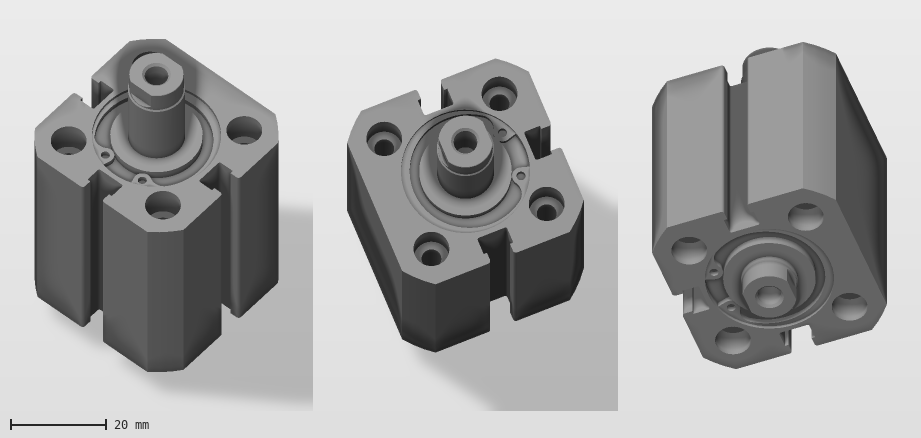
import cadquery as cq
import math


total_length = 75.0
housing_height = 48.0
bottom_reach = 6.0

housing_width = 41.0
corner_radius = 25.5

hole_spacing = 26.0
hole_diameter = 4.1
counterbore_diameter = 7.5
counterbore_depth = 7.0

slot_mouth_width = 5.2
slot_inner_width = 6.7
slot_depth = 6.0
slot_lip = 2.3
slot_mouth_rounding = 0.7
slot_floor_rounding = 0.45
slot_angles = (0, 180, 270)

recess_diameter = 27.0
ring_setback = 0.75
ring_thickness = 1.3
flange_thickness = 6.0
collar_boss_diameter = 19.35

ring_inner_radius = 12.45
ring_inner_offset = 0.8
lug_distance = 11.6
lug_angle = 26.0
lug_radius = 1.9
lug_hole_diameter = 1.9
lug_blend_radius = 3.0

rod_diameter = 12.0
tip_diameter = 11.4
tip_length = 4.8
tip_chamfer = 0.1
flats_width = 10.0
flats_length = 3.9
thread_hole_diameter = 4.95
thread_hole_depth = 12.0
thread_hole_chamfer = 0.5
drill_point_angle = 118.0

half_width = housing_width / 2
mid_height = housing_height / 2
recess_radius = recess_diameter / 2
rod_radius = rod_diameter / 2
tip_radius = tip_diameter / 2
flange_top = housing_height - ring_setback - ring_thickness
recess_floor = flange_top - flange_thickness
rod_bottom = -bottom_reach
rod_top = rod_bottom + total_length


def cylinder(diameter, bottom, height):
    return cq.Workplane("XY").workplane(offset=bottom).circle(diameter / 2).extrude(height)


def at_bottom_end(body):
    """Copy of a top-end body mirrored to the bottom end of the housing."""
    return body.mirror("XY", (0, 0, mid_height))


def slot_cutter(angle):
    """T-slot with rounded mouth edges and floor corners, opening toward the given direction about Z."""
    half_mouth = slot_mouth_width / 2
    half_inner = slot_inner_width / 2
    floor = half_width - slot_depth
    lip_back = half_width - slot_lip
    lip_front = half_width - slot_mouth_rounding
    half_flare = half_mouth + slot_mouth_rounding
    profile = (
        cq.Workplane("XY")
        .moveTo(floor, -half_inner)
        .lineTo(lip_back, -half_inner)
        .lineTo(lip_back, -half_mouth)
        .lineTo(lip_front, -half_mouth)
        .radiusArc((half_width, -half_flare), slot_mouth_rounding)
        .lineTo(half_width, half_flare)
        .radiusArc((lip_front, half_mouth), slot_mouth_rounding)
        .lineTo(lip_back, half_mouth)
        .lineTo(lip_back, half_inner)
        .lineTo(floor, half_inner)
        .close()
    )
    cutter = profile.extrude(housing_height).faces("<X").edges("|Z").fillet(slot_floor_rounding)
    return cutter.rotate((0, 0, 0), (0, 0, 1), angle)


def make_housing():
    body = cq.Workplane("XY").rect(housing_width, housing_width).extrude(housing_height)
    body = body.intersect(cylinder(2 * corner_radius, 0, housing_height))

    for angle in slot_angles:
        body = body.cut(slot_cutter(angle))

    for face in (">Z", "<Z"):
        body = (
            body.faces(face)
            .workplane(origin=(0, 0, 0))
            .rect(hole_spacing, hole_spacing, forConstruction=True)
            .vertices()
            .cboreHole(hole_diameter, counterbore_diameter, counterbore_depth)
        )

    recess = cylinder(recess_diameter, recess_floor, housing_height - recess_floor)
    body = body.cut(cylinder(rod_diameter, 0, housing_height))
    return body.cut(recess).cut(at_bottom_end(recess))


def make_collar():
    """Rod guide at the top end: a flange under the ring and a boss flush with the housing."""
    flange = cylinder(recess_diameter, recess_floor, flange_thickness)
    boss = cylinder(collar_boss_diameter, flange_top, housing_height - flange_top)
    return flange.union(boss).cut(cylinder(rod_diameter, recess_floor, housing_height))


def point_below(center, radius, angle):
    """Point at a radius from a center, at an angle in radians from -Y toward +X."""
    return (center[0] + radius * math.sin(angle), center[1] - radius * math.cos(angle))


def mirrored(point):
    return (-point[0], point[1])


def make_ring():
    """Top retaining ring, open toward -Y, with a drilled lug at each end."""
    axis = (0, 0)
    inner_center = (0, -ring_inner_offset)
    lug_direction = math.radians(lug_angle)
    lug_center = point_below(axis, lug_distance, lug_direction)

    end_direction = lug_direction - math.asin(lug_radius / lug_distance)
    end_outer = point_below(axis, recess_radius, end_direction)
    end_inner = point_below(axis, math.sqrt(lug_distance**2 - lug_radius**2), end_direction)

    lug_dx = lug_center[0] - inner_center[0]
    lug_dy = inner_center[1] - lug_center[1]
    lug_reach = math.hypot(lug_dx, lug_dy)
    blend_reach = ring_inner_radius - lug_blend_radius
    blend_to_lug = lug_blend_radius + lug_radius
    cosine = (blend_reach**2 + lug_reach**2 - blend_to_lug**2) / (2 * blend_reach * lug_reach)
    blend_direction = math.atan2(lug_dx, lug_dy) + math.acos(cosine)
    blend_center = point_below(inner_center, blend_reach, blend_direction)
    blend_start = point_below(inner_center, ring_inner_radius, blend_direction)
    lug_share = lug_radius / blend_to_lug
    blend_end = (
        lug_center[0] + lug_share * (blend_center[0] - lug_center[0]),
        lug_center[1] + lug_share * (blend_center[1] - lug_center[1]),
    )

    outer_top = (0, recess_radius)
    inner_top = (0, ring_inner_radius - ring_inner_offset)
    return (
        cq.Workplane("XY")
        .workplane(offset=flange_top)
        .moveTo(*end_outer)
        .threePointArc(outer_top, mirrored(end_outer))
        .lineTo(*mirrored(end_inner))
        .radiusArc(mirrored(blend_end), -lug_radius)
        .radiusArc(mirrored(blend_start), lug_blend_radius)
        .threePointArc(inner_top, blend_start)
        .radiusArc(blend_end, lug_blend_radius)
        .radiusArc(end_inner, -lug_radius)
        .close()
        .pushPoints([lug_center, mirrored(lug_center)])
        .circle(lug_hole_diameter / 2)
        .extrude(ring_thickness)
    )


def rod_end_flat():
    """Cutter for the +Y wrench flat at the top of the rod, with a 45-degree run-out."""
    flat = flats_width / 2
    flat_end = rod_top - flats_length
    run_out = rod_radius - flat
    return (
        cq.Workplane("YZ")
        .moveTo(flat, rod_top)
        .lineTo(flat, flat_end)
        .lineTo(rod_radius, flat_end - run_out)
        .lineTo(rod_radius, rod_top)
        .close()
        .extrude(rod_radius, both=True)
    )


def thread_hole():
    """Cutter for the hole in the top end of the rod, with a chamfered mouth and a drill point."""
    radius = thread_hole_diameter / 2
    hole_floor = rod_top - thread_hole_depth
    point_depth = radius / math.tan(math.radians(drill_point_angle / 2))
    return (
        cq.Workplane("XZ")
        .moveTo(0, rod_top)
        .lineTo(radius + thread_hole_chamfer, rod_top)
        .lineTo(radius, rod_top - thread_hole_chamfer)
        .lineTo(radius, hole_floor)
        .lineTo(0, hole_floor - point_depth)
        .close()
        .revolve(360, (0, 0, 0), (0, 1, 0))
    )


def make_rod():
    shoulder = rod_radius - tip_radius
    tips = cylinder(tip_diameter, rod_bottom, total_length).faces("<Z or >Z").chamfer(tip_chamfer)
    body = (
        cq.Workplane("XY")
        .workplane(offset=rod_bottom + tip_length)
        .circle(rod_radius)
        .extrude(total_length - 2 * tip_length)
        .faces("<Z or >Z")
        .chamfer(shoulder)
        .union(tips)
    )

    flat = rod_end_flat()
    end_cuts = flat.union(flat.mirror("XZ")).union(thread_hole())
    rod_middle = (0, 0, (rod_bottom + rod_top) / 2)
    return body.cut(end_cuts).cut(end_cuts.mirror("XY", rod_middle))


housing = make_housing()
rod = make_rod()

collars = []
rings = []
for is_bottom in (False, True):
    collar = make_collar()
    ring = make_ring()
    collars.append(at_bottom_end(collar) if is_bottom else collar)
    rings.append(at_bottom_end(ring) if is_bottom else ring)

result = cq.Compound.makeCompound([
    housing.val(),
    rod.val(),
    *[collar.val() for collar in collars],
    *[ring.val() for ring in rings],
])